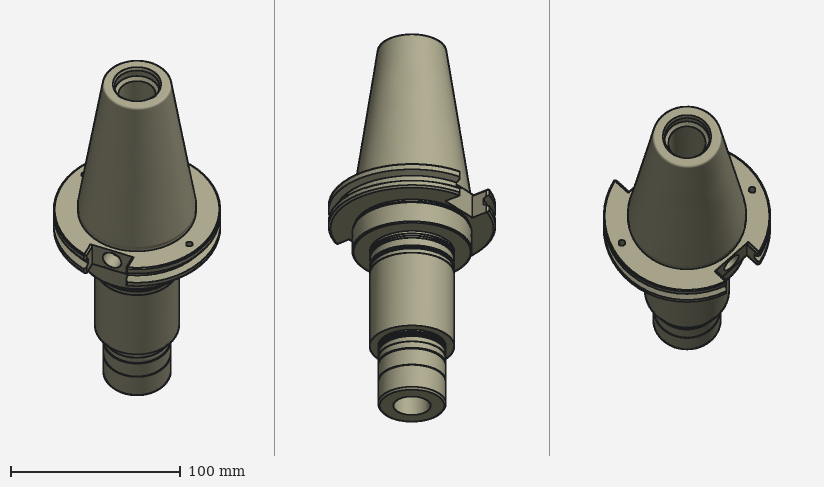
import cadquery as cq
import math

TOP = 241.0

TAPER_RATE = 7 / 24
GAUGE_D = 70.0
GAUGE_Z = 140.0
TOP_EDGE = 1.5
SMALL_END_D = GAUGE_D - TAPER_RATE * (TOP - GAUGE_Z)

RELIEF_D = 69.5
RELIEF_Z = 137.9

FLANGE_D = 98.3
FLANGE_TOP = 136.5
FLANGE_BOTTOM = 120.5
FLANGE_TOP_CHAMFER = 0.7
FLANGE_BOTTOM_CHAMFER = 1.2
GROOVE_Z = (FLANGE_TOP + FLANGE_BOTTOM) / 2
GROOVE_FLOOR_D = 90.9
GROOVE_FLOOR_WIDTH = 3.4
GROOVE_FLANK_ANGLE = 30

COLLAR_D = 70.4
COLLAR_TOP = 117.8
COLLAR_BOTTOM = 104.4
COLLAR_CHAMFER = 0.7
NECK_D = 68.5
NECK_BOTTOM = 119.3

BODY_D = 50.0
BODY_BOTTOM = 40.2
BODY_RELIEF_D = 49.5
NOSE_D = 40.0
NOSE_GROOVE_DEPTH = 0.2
NOSE_CHAMFER = 1.0
NOSE_CHAMFER_HEIGHT = 1.5

RING_OVERSIZE = 2.5
BODY_RINGS = [(102.7, 101.2), (99.8, 94.7), (94.0, 93.3), (92.5, 89.7)]
NOSE_RINGS = [(39.0, 38.3), (37.5, 36.9), (36.2, 36.0), (28.0, 27.5), (16.6, 16.5)]
STOP_RING = (32.3, 30.1)

BORE_D = 22.0
COUNTERBORE_D = 26.5
COUNTERBORE_DEPTH = 6.5
COUNTERBORE_FLOOR_HEIGHT = 2.0
COUNTERBORE_CHAMFER = 1.0
COUNTERBORE_CHAMFER_DEPTH = 2.0

SLOT_WIDTH = 25.3
FRONT_SLOT_FLOOR = 37.4
REAR_SLOT_FLOOR = 35.5
SLOT_CHAMFER = 1.2

DRILL_POINT = 118
DIMPLE_D = 11.8
DIMPLE_DEPTH = 9.6
COOLANT_D = 3.9
COOLANT_RADIUS = 42.2
COOLANT_ANGLES = (160, 340)
COOLANT_DEPTH = 9.2
CROSS_D = 3.1


def revolve(points):
    """Solid of revolution about Z from (radius, z) points."""
    return cq.Workplane("XZ").polyline(points).close().revolve(360, (0, 0, 0), (0, 1, 0))


def ring(outer_d, floor_d, z_top, z_bottom):
    """Square-sided ring that cuts a round body down to floor_d."""
    base = cq.Workplane("XY", origin=(0, 0, z_bottom))
    return base.circle(outer_d / 2 + RING_OVERSIZE).circle(floor_d / 2).extrude(z_top - z_bottom)


def drill(diameter, depth, start, direction):
    """Blind drilled hole: a cylinder that ends in a conical tip."""
    start = cq.Vector(*start)
    direction = cq.Vector(*direction)
    radius = diameter / 2
    tip = radius / math.tan(math.radians(DRILL_POINT / 2))
    cylinder = cq.Solid.makeCylinder(radius, depth, start, direction)
    cone = cq.Solid.makeCone(radius, 0, tip, start + direction * depth, direction)
    return cq.Workplane(cylinder.fuse(cone))


def blank():
    """Outer shape without the rings, slots and holes."""
    flange_r = FLANGE_D / 2
    floor_r = GROOVE_FLOOR_D / 2
    floor_half = GROOVE_FLOOR_WIDTH / 2
    mouth_half = floor_half + (flange_r - floor_r) * math.tan(math.radians(GROOVE_FLANK_ANGLE))
    body = revolve([
        (0, 0),
        (NOSE_D / 2 - NOSE_CHAMFER, 0),
        (NOSE_D / 2, NOSE_CHAMFER_HEIGHT),
        (NOSE_D / 2, BODY_BOTTOM),
        (BODY_D / 2, BODY_BOTTOM),
        (BODY_D / 2, COLLAR_BOTTOM),
        (COLLAR_D / 2 - COLLAR_CHAMFER, COLLAR_BOTTOM),
        (COLLAR_D / 2, COLLAR_BOTTOM + COLLAR_CHAMFER),
        (COLLAR_D / 2, COLLAR_TOP),
        (NECK_D / 2, NECK_BOTTOM),
        (NECK_D / 2, FLANGE_BOTTOM),
        (flange_r - FLANGE_BOTTOM_CHAMFER, FLANGE_BOTTOM),
        (flange_r, FLANGE_BOTTOM + FLANGE_BOTTOM_CHAMFER),
        (flange_r, GROOVE_Z - mouth_half),
        (floor_r, GROOVE_Z - floor_half),
        (floor_r, GROOVE_Z + floor_half),
        (flange_r, GROOVE_Z + mouth_half),
        (flange_r, FLANGE_TOP - FLANGE_TOP_CHAMFER),
        (flange_r - FLANGE_TOP_CHAMFER, FLANGE_TOP),
        (GAUGE_D / 2, FLANGE_TOP),
        (RELIEF_D / 2, RELIEF_Z),
        (GAUGE_D / 2, GAUGE_Z),
        (SMALL_END_D / 2, TOP),
        (0, TOP),
    ])
    return body.faces(">Z").edges().fillet(TOP_EDGE)


def cut_rings(part):
    """Shallow marking rings on the chuck body and the nose."""
    for z_top, z_bottom in BODY_RINGS:
        part = part.cut(ring(BODY_D, BODY_RELIEF_D, z_top, z_bottom))
    nose_floor_d = NOSE_D - 2 * NOSE_GROOVE_DEPTH
    for z_top, z_bottom in NOSE_RINGS:
        part = part.cut(ring(NOSE_D, nose_floor_d, z_top, z_bottom))
    z_top, z_bottom = STOP_RING
    return part.cut(revolve([(nose_floor_d / 2, z_top), (NOSE_D / 2, z_top), (NOSE_D / 2, z_bottom)]))


def bore():
    """Through bore with a chamfered, cone-floored counterbore at the small taper end."""
    floor_z = TOP - COUNTERBORE_DEPTH
    mouth_r = COUNTERBORE_D / 2 + COUNTERBORE_CHAMFER
    return revolve([
        (0, 0),
        (BORE_D / 2, 0),
        (BORE_D / 2, floor_z - COUNTERBORE_FLOOR_HEIGHT),
        (COUNTERBORE_D / 2, floor_z),
        (COUNTERBORE_D / 2, TOP - COUNTERBORE_CHAMFER_DEPTH),
        (mouth_r, TOP),
        (0, TOP),
    ])


def slot(floor_y):
    """Drive slot on the -Y side with its floor at floor_y from the axis and its wall edges chamfered."""
    half = SLOT_WIDTH / 2
    wide = half + SLOT_CHAMFER
    outer_y = FLANGE_D / 2
    rim_y = math.sqrt(outer_y ** 2 - wide ** 2)
    length = outer_y - floor_y
    channel = (
        cq.Workplane("XZ", origin=(0, -floor_y, 0))
        .polyline([
            (-half, FLANGE_BOTTOM),
            (half, FLANGE_BOTTOM),
            (half, FLANGE_TOP - SLOT_CHAMFER),
            (wide, FLANGE_TOP),
            (-wide, FLANGE_TOP),
            (-half, FLANGE_TOP - SLOT_CHAMFER),
        ])
        .close()
        .extrude(length)
    )
    mouth = (
        cq.Workplane("XY", origin=(0, 0, FLANGE_BOTTOM))
        .polyline([
            (-half, SLOT_CHAMFER - rim_y),
            (half, SLOT_CHAMFER - rim_y),
            (wide, -rim_y),
            (wide, -outer_y),
            (-wide, -outer_y),
            (-wide, -rim_y),
        ])
        .close()
        .extrude(FLANGE_TOP - FLANGE_BOTTOM)
    )
    return channel.union(mouth)


def coolant_hole(angle):
    """Hole down from the flange top, met by a cross hole from the gripper groove."""
    outward = cq.Vector(math.cos(math.radians(angle)), math.sin(math.radians(angle)), 0)
    center = outward * COOLANT_RADIUS
    mouth = center + cq.Vector(0, 0, FLANGE_TOP)
    down = drill(COOLANT_D, COOLANT_DEPTH, mouth.toTuple(), (0, 0, -1))
    cross_start = center + cq.Vector(0, 0, GROOVE_Z)
    cross = cq.Solid.makeCylinder(CROSS_D / 2, FLANGE_D / 2 - COOLANT_RADIUS, cross_start, outward)
    return down.union(cq.Workplane(cross))


result = cut_rings(blank()).cut(bore())
result = result.cut(slot(FRONT_SLOT_FLOOR))
result = result.cut(slot(REAR_SLOT_FLOOR).rotate((0, 0, 0), (0, 0, 1), 180))
result = result.cut(drill(DIMPLE_D, DIMPLE_DEPTH, (0, -FRONT_SLOT_FLOOR, GROOVE_Z), (0, 1, 0)))
for angle in COOLANT_ANGLES:
    result = result.cut(coolant_hole(angle))